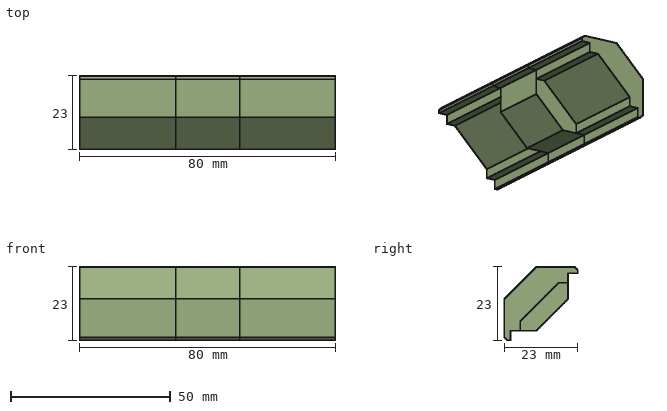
import cadquery as cq

end_length = 30.0
middle_length = 20.0
envelope = 23.0
outer_bevel = 10.0
lip_overhang = 3.0
lip_thickness = 2.0
lip_chamfer = 1.0
inner_bevel = 10.0
wall_thickness = 5.0
inner_face_setback = 22.0

flat_limit = envelope - lip_overhang


def mirrored_profile(half_outline):
    """Close an outline that is symmetric about the 45 degree line through the outer corner.

    Points are (depth behind the front face, drop below the top face), from the
    outer bevel round to the inner face, on the upper side of the symmetry line.
    """
    other_half = [(drop, depth) for depth, drop in reversed(half_outline)]
    return [(depth, envelope - drop) for depth, drop in half_outline + other_half]


def section_body(start, length, half_outline):
    """Extrude a section along X from its start position."""
    return (
        cq.Workplane("YZ", origin=(start, 0, 0))
        .polyline(mirrored_profile(half_outline))
        .close()
        .extrude(length)
    )


outer_half = [
    (outer_bevel, 0),
    (envelope - lip_chamfer, 0),
    (envelope, lip_chamfer),
    (envelope, lip_thickness),
    (flat_limit, lip_thickness),
]

middle_half = outer_half + [(flat_limit, flat_limit - inner_bevel)]

end_half = outer_half + [
    (flat_limit, wall_thickness),
    (inner_face_setback - wall_thickness, wall_thickness),
]

middle_start = end_length
right_start = middle_start + middle_length

middle_section = section_body(middle_start, middle_length, middle_half)
end_sections = [section_body(start, end_length, end_half) for start in (0, right_start)]

result = cq.Compound.makeCompound(
    [middle_section.val(), *[end_section.val() for end_section in end_sections]]
)